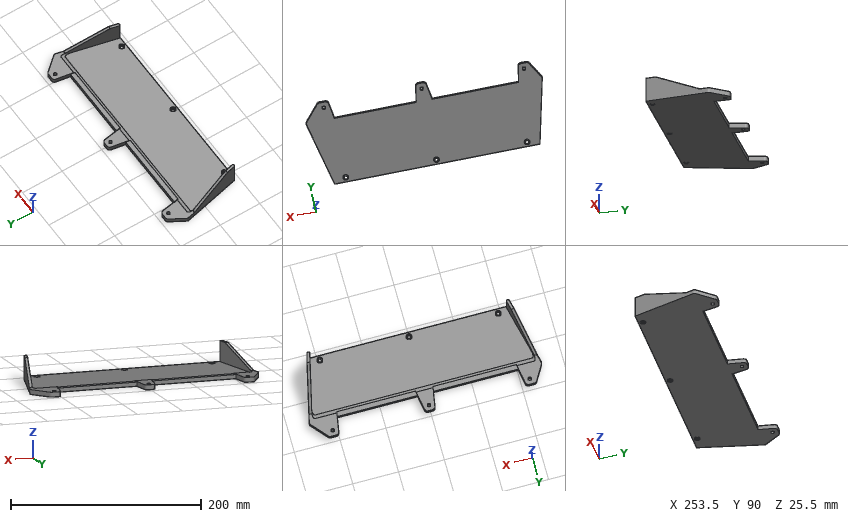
import cadquery as cq

floor_height = 3.0
rear_rail_height = 4.5
tab_height = 5.3
wall_height = 25.5

front_half_width = 110.3
rear_half_width = 127.0
rear_y = 70.5
wall_width = 3.3
wall_crest_end_y = 11.2
wall_slope_end_y = 60.5
wall_nose_radius = 1.0

ramp_foot_y = 62.1
ramp_run_per_rise = 2.0
recess_corner_radius = 3.0

tab_tip_y = 90.0
tab_root_half_width = 8.5
tab_tip_half_width = 5.3
tab_tip_radius = 3.5
outer_corner_radius = 3.0
left_tab_x = -110.0
middle_tab_x = 0.0
right_tab_x = 105.0
tab_hole_y = 84.0
tab_hole_diameter = 3.5

front_hole_xs = (-97.5, 0.0, 97.5)
front_hole_y = 4.8
front_hole_diameter = 3.5
counterbore_diameter = 6.0
counterbore_depth = 2.0

clearance = 2.5


def side_x(y):
    """Half width of the tray at depth y."""
    return front_half_width + (rear_half_width - front_half_width) * y / rear_y


def inner_side_x(y):
    """Half width between the side walls at depth y."""
    return side_x(y) - wall_width


def tab_half_width(y):
    """Half width of a tab at depth y."""
    taper = (tab_root_half_width - tab_tip_half_width) / (tab_tip_y - rear_y)
    return tab_root_half_width - taper * (y - rear_y)


def make_plate():
    """Flat plate with the three tabs, rounded at the tab tips and rear outer corners."""
    outer_corners = [(-rear_half_width, rear_y), (rear_half_width, rear_y)]
    tip_corners = [
        (tab_x + side * tab_tip_half_width, tab_tip_y)
        for tab_x in (left_tab_x, middle_tab_x, right_tab_x)
        for side in (-1, 1)
    ]
    outline = [
        (-front_half_width, 0),
        outer_corners[0],
        tip_corners[0],
        tip_corners[1],
        (left_tab_x + tab_root_half_width, rear_y),
        (middle_tab_x - tab_root_half_width, rear_y),
        tip_corners[2],
        tip_corners[3],
        (middle_tab_x + tab_root_half_width, rear_y),
        (right_tab_x - tab_root_half_width, rear_y),
        tip_corners[4],
        tip_corners[5],
        outer_corners[1],
        (front_half_width, 0),
    ]
    plate = cq.Workplane("XY").polyline(outline).close().extrude(tab_height)
    for corners, radius in ((tip_corners, tab_tip_radius), (outer_corners, outer_corner_radius)):
        for x, y in corners:
            corner_edge = cq.selectors.NearestToPointSelector((x, y, tab_height / 2))
            plate = plate.edges("|Z").edges(corner_edge).fillet(radius)
    return plate


def make_side_walls():
    """Both side walls, with tops that fall from full height to tab height."""
    footprint = [
        (front_half_width, 0),
        (side_x(wall_slope_end_y), wall_slope_end_y),
        (inner_side_x(wall_slope_end_y), wall_slope_end_y),
        (inner_side_x(0), 0),
    ]
    elevation = [
        (0, 0),
        (0, wall_height),
        (wall_crest_end_y, wall_height),
        (wall_slope_end_y, tab_height),
        (wall_slope_end_y, 0),
    ]
    wall = cq.Workplane("XY").polyline(footprint).close().extrude(wall_height)
    profile = cq.Workplane("YZ").polyline(elevation).close().extrude(rear_half_width)
    wall = wall.intersect(profile)
    return wall.union(wall.mirror("YZ"))


def make_rail_relief(first_tab_x, second_tab_x):
    """Cutter that lowers the rear rail between two neighbouring tabs."""
    back_y = rear_y + clearance
    outline = [
        (first_tab_x + tab_half_width(wall_slope_end_y), wall_slope_end_y),
        (first_tab_x + tab_half_width(back_y), back_y),
        (second_tab_x - tab_half_width(back_y), back_y),
        (second_tab_x - tab_half_width(wall_slope_end_y), wall_slope_end_y),
    ]
    plane = cq.Workplane("XY").workplane(offset=rear_rail_height)
    return plane.polyline(outline).close().extrude(clearance)


def make_recess():
    """Cutter for the space between the walls, closed at the rear by a ramp."""
    top_z = wall_height + clearance
    ramp_top_y = ramp_foot_y + ramp_run_per_rise * (top_z - floor_height)
    front_y = -clearance
    plan = [
        (-inner_side_x(front_y), front_y),
        (-inner_side_x(ramp_top_y), ramp_top_y),
        (inner_side_x(ramp_top_y), ramp_top_y),
        (inner_side_x(front_y), front_y),
    ]
    elevation = [
        (front_y, floor_height),
        (ramp_foot_y, floor_height),
        (ramp_top_y, top_z),
        (front_y, top_z),
    ]
    between_walls = cq.Workplane("XY").polyline(plan).close().extrude(top_z)
    profile = cq.Workplane("YZ").polyline(elevation).close()
    recess = between_walls.intersect(profile.extrude(inner_side_x(ramp_top_y), both=True))
    ramp_middle = ((ramp_foot_y + ramp_top_y) / 2, (floor_height + top_z) / 2)
    for side in (-1, 1):
        ramp_corner = (side * inner_side_x(ramp_middle[0]), *ramp_middle)
        corner_edge = cq.selectors.NearestToPointSelector(ramp_corner)
        recess = recess.edges(corner_edge).fillet(recess_corner_radius)
    return recess


def round_wall_noses(body):
    """Round the upright front edges of both side walls."""
    for side in (-1, 1):
        for x in (side_x(0), inner_side_x(0)):
            nose_edge = cq.selectors.NearestToPointSelector((side * x, 0, wall_height / 2))
            body = body.edges("|Z").edges(nose_edge).fillet(wall_nose_radius)
    return body


body = make_plate().union(make_side_walls())
body = body.cut(make_rail_relief(left_tab_x, middle_tab_x))
body = body.cut(make_rail_relief(middle_tab_x, right_tab_x))
body = body.cut(make_recess())

tab_hole_points = [(x, tab_hole_y) for x in (left_tab_x, middle_tab_x, right_tab_x)]
tab_holes = cq.Workplane("XY").pushPoints(tab_hole_points).circle(tab_hole_diameter / 2)
body = body.cut(tab_holes.extrude(tab_height))

front_hole_points = [(x, front_hole_y) for x in front_hole_xs]
floor_plane = cq.Workplane("XY").workplane(offset=floor_height).pushPoints(front_hole_points)
body = body.cut(floor_plane.circle(front_hole_diameter / 2).extrude(-floor_height))
body = body.cut(floor_plane.circle(counterbore_diameter / 2).extrude(-counterbore_depth))

result = round_wall_noses(body)